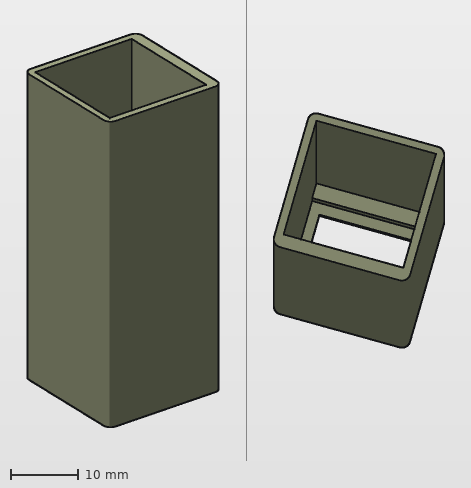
import cadquery as cq

outer_side = 21.0
height = 51.15
corner_radius = 1.3

cavity_width = 18.45
front_wall = 1.1
back_wall = 2.0
floor_thickness = front_wall
cavity_depth = outer_side - front_wall - back_wall
cavity_front = -outer_side / 2 + front_wall
cavity_back = outer_side / 2 - back_wall

step_size = 2.3

window_width = 15.3
window_depth = 12.5
window_back_margin = 1.45
window_center_y = cavity_back - window_back_margin - window_depth / 2


def block(width, depth, tall, center_y, bottom):
    """Upright block centred on X, with its base at the given height."""
    return (
        cq.Workplane("XY")
        .workplane(offset=bottom)
        .center(0, center_y)
        .rect(width, depth)
        .extrude(tall)
    )


body = block(outer_side, outer_side, height, 0, 0).edges("|Z").fillet(corner_radius)

cavity = block(
    cavity_width,
    cavity_depth,
    height - floor_thickness,
    (cavity_front + cavity_back) / 2,
    floor_thickness,
)

step = block(cavity_width, step_size, step_size, cavity_front + step_size / 2, floor_thickness)

window = block(window_width, window_depth, floor_thickness, window_center_y, 0)

result = body.cut(cavity.cut(step)).cut(window)